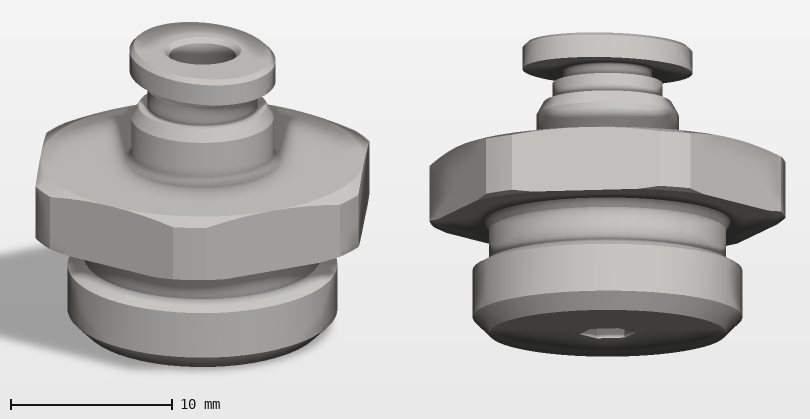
import cadquery as cq
import math

THREAD_RADIUS = 8.34
RELIEF_RADIUS = 7.33
SEAT_RADIUS = 7.63
THREAD_TIP_CHAMFER = 1.01
THREAD_TOP = 3.95
RELIEF_BOTTOM = 4.5
RELIEF_TOP = 6.5

FLANGE_BOTTOM = 7.02
FLANGE_TOP = 11.0
FLANGE_ACROSS_FLATS = 20.0
FLANGE_CORNER_DIAMETER = 22.0
FLANGE_TOP_FACE_RADIUS = FLANGE_ACROSS_FLATS / 2
FLANGE_TOP_BEVEL_DROP = 0.37
FLANGE_BOTTOM_BEVEL_WIDTH = 0.48
FLANGE_BOTTOM_BEVEL_HEIGHT = 0.15

COLLAR_RADIUS = 4.4
COLLAR_FILLET = 0.48
COLLAR_BEVEL_WIDTH = 0.45
COLLAR_BEVEL_HEIGHT = 0.8
COLLAR_TOP = 14.5
STEP_RADIUS = 3.4
STEP_TOP = 15.7
NECK_RADIUS = 2.75
NECK_FILLET = 0.1

BUTTON_BOTTOM = 16.5
BUTTON_TOP = 18.1
BUTTON_HALF_LENGTH = 5.4
BUTTON_HALF_WIDTH = 4.3
BUTTON_CHAMFER = 0.29

BORE_RADIUS = 2.07
BORE_CHAMFER = 0.3
BORE_FLOOR = FLANGE_BOTTOM
KEY_ACROSS_FLATS = 3.0


def hex_prism(across_flats, bottom, top):
    """Hexagonal prism on the Z axis with two flats facing along X."""
    across_corners = across_flats / math.cos(math.radians(30))
    prism = cq.Workplane("XY").workplane(offset=bottom).polygon(6, across_corners).extrude(top - bottom)
    return prism.rotate((0, 0, 0), (0, 0, 1), 30)


def revolve_profile(points):
    """Solid of revolution about Z from a closed outline of (radius, height) points."""
    return cq.Workplane("XZ").polyline(points).close().revolve(360, (0, 0), (0, 1))


def threaded_body():
    profile = [
        (0, 0),
        (THREAD_RADIUS - THREAD_TIP_CHAMFER, 0),
        (THREAD_RADIUS, THREAD_TIP_CHAMFER),
        (THREAD_RADIUS, THREAD_TOP),
        (RELIEF_RADIUS, RELIEF_BOTTOM),
        (RELIEF_RADIUS, RELIEF_TOP),
        (SEAT_RADIUS, FLANGE_BOTTOM),
        (0, FLANGE_BOTTOM),
    ]
    return revolve_profile(profile)


def flange():
    corner_radius = FLANGE_CORNER_DIAMETER / 2
    turned_profile = [
        (0, FLANGE_BOTTOM),
        (corner_radius - FLANGE_BOTTOM_BEVEL_WIDTH, FLANGE_BOTTOM),
        (corner_radius, FLANGE_BOTTOM + FLANGE_BOTTOM_BEVEL_HEIGHT),
        (corner_radius, FLANGE_TOP - FLANGE_TOP_BEVEL_DROP),
        (FLANGE_TOP_FACE_RADIUS, FLANGE_TOP),
        (0, FLANGE_TOP),
    ]
    turned = revolve_profile(turned_profile)
    return hex_prism(FLANGE_ACROSS_FLATS, FLANGE_BOTTOM, FLANGE_TOP).intersect(turned)


def collar():
    """Stepped neck from the flange up to the button, with concave fillets at both ends."""
    root_radius = COLLAR_RADIUS + COLLAR_FILLET
    foot_offset = COLLAR_FILLET * (1 - math.sqrt(0.5))
    neck_offset = NECK_FILLET * (1 - math.sqrt(0.5))
    return (
        cq.Workplane("XZ")
        .moveTo(0, FLANGE_TOP)
        .lineTo(root_radius, FLANGE_TOP)
        .threePointArc(
            (COLLAR_RADIUS + foot_offset, FLANGE_TOP + foot_offset),
            (COLLAR_RADIUS, FLANGE_TOP + COLLAR_FILLET),
        )
        .lineTo(COLLAR_RADIUS, COLLAR_TOP - COLLAR_BEVEL_HEIGHT)
        .lineTo(COLLAR_RADIUS - COLLAR_BEVEL_WIDTH, COLLAR_TOP)
        .lineTo(STEP_RADIUS, COLLAR_TOP)
        .lineTo(STEP_RADIUS, STEP_TOP)
        .lineTo(NECK_RADIUS, STEP_TOP)
        .lineTo(NECK_RADIUS, BUTTON_BOTTOM - NECK_FILLET)
        .threePointArc(
            (NECK_RADIUS + neck_offset, BUTTON_BOTTOM - neck_offset),
            (NECK_RADIUS + NECK_FILLET, BUTTON_BOTTOM),
        )
        .lineTo(0, BUTTON_BOTTOM)
        .close()
        .revolve(360, (0, 0), (0, 1))
    )


def button():
    oval = (
        cq.Workplane("XY")
        .workplane(offset=BUTTON_BOTTOM)
        .ellipse(BUTTON_HALF_LENGTH, BUTTON_HALF_WIDTH)
        .extrude(BUTTON_TOP - BUTTON_BOTTOM)
    )
    return oval.faces(">Z").edges().chamfer(BUTTON_CHAMFER)


def bore():
    """Tube bore flared at the mouth, open to the bottom through the key socket."""
    mouth_radius = BORE_RADIUS + BORE_CHAMFER
    profile = [
        (0, BORE_FLOOR),
        (BORE_RADIUS, BORE_FLOOR),
        (BORE_RADIUS, BUTTON_TOP - BORE_CHAMFER),
        (mouth_radius, BUTTON_TOP),
        (0, BUTTON_TOP),
    ]
    tube_bore = revolve_profile(profile)
    return tube_bore.union(hex_prism(KEY_ACROSS_FLATS, 0, BORE_FLOOR))


result = threaded_body().union(flange()).union(collar()).union(button()).cut(bore())